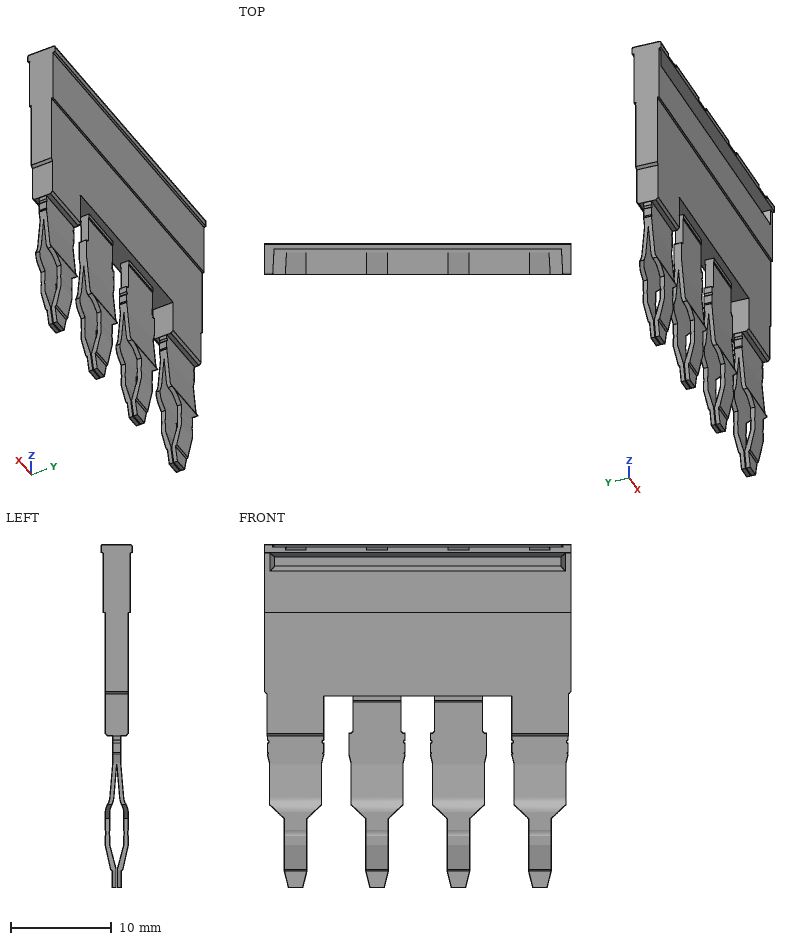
import cadquery as cq
import math


TOTAL_HEIGHT = 34.11

PIN_COUNT = 4
PIN_PITCH = 8.1
PIN_CENTRES = [(i - (PIN_COUNT - 1) / 2) * PIN_PITCH for i in range(PIN_COUNT)]

HOUSING_LENGTH = 30.5
HEAD_WIDTH = 3.1
BODY_WIDTH = 2.7
SKIRT_WIDTH = 2.32
HEAD_DEPTH = 0.76
SKIRT_DEPTH = 6.76
SHOULDER_DEPTH = 14.6
SHOULDER_INSET = 0.25
WEB_DEPTH = 15.07
LEG_DEPTH = 19.02
LEG_INNER_X = 9.33
LEG_CHAMFER = 0.25
HEAD_FRONT_RADIUS = 0.22
HEAD_BACK_CHAMFER = 0.08

RECESS_FLOOR = 0.22
PAD_FLOOR = 0.51
RECESS_BACK_Y = 1.02
PAD_BACK_Y = 0.63
RECESS_FRONT_X = 14.43
PAD_WIDTH = 2.05
END_SKEW = 0.14

POCKET_FLOOR_Y = -0.42
POCKET_HALF_LENGTH = 14.68
POCKET_END_BEVEL = 0.45
POCKET_FLOOR_TOP_DEPTH = 1.24
POCKET_FLOOR_BOTTOM_DEPTH = 2.14
POCKET_BOTTOM_DEPTH = 2.63

ROOF_SLOPE = (POCKET_FLOOR_TOP_DEPTH - HEAD_DEPTH) / (POCKET_FLOOR_Y + HEAD_WIDTH / 2)
HEAD_UNDERSIDE_DROP = ROOF_SLOPE * (HEAD_WIDTH - BODY_WIDTH) / 2

PIN_EMBEDMENT = 1.0
PIN_TOP_DEPTH = WEB_DEPTH - PIN_EMBEDMENT
NECK_HALF = 2.4
LUG_HALF = 2.8
BLADE_HALF = 2.6
SPRING_HALF = 1.13
TIP_HALF = 0.72
LUG_TOP_DEPTH = 18.75
LUG_LEAD = 0.2
LUG_TAPER_DEPTH = 20.92
BLADE_DEPTH = 21.72
BLADE_END_DEPTH = 25.85
SPRING_DEPTH = 27.25
TIP_TAPER_DEPTH = 32.45
NOTCHES = [(19.6, 0.15), (20.75, 0.08)]

SHEET = 0.42
ROOT_EXTRA = 0.06
ROOT_END_DEPTH = 15.52
ROOT_STEP = 0.12
SPLIT_DEPTH = 21.88
SPREAD_DEPTH = 25.18
SPREAD_OUTER = 0.7
BEND_DEPTH = 25.8
BEND_OUTER = 0.9
BEND_ANGLE = math.radians(33)
BELLY_DEPTH = 26.6
BELLY_OUTER = 1.15
BELLY_INNER = 0.68
NICK_TOP_DEPTH = 28.4
NICK_BOTTOM_DEPTH = 29.0
NICK_SIZE = 0.05
CLOSE_DEPTH = 29.9
PINCH_DEPTH = 32.3
PINCH_OUTER = 0.62
TIP_GAP_HALF = 0.05


def mirrored(half):
    """Close a half outline, listed top to bottom at positive abscissa, about the vertical axis."""
    return half + [(-u, v) for u, v in reversed(half)]


def block(x0, x1, y0, y1, depth0, depth1):
    """Axis-aligned box between two X, two Y and two depth limits."""
    return cq.Workplane("XY").box(x1 - x0, y1 - y0, depth1 - depth0, centered=False).translate(
        (x0, y0, -depth1)
    )


def make_housing_blank():
    """Stepped cross-section trimmed to the outline with two long end legs."""
    head = HEAD_WIDTH / 2
    body = BODY_WIDTH / 2
    skirt = SKIRT_WIDTH / 2
    side = [
        (head, -HEAD_DEPTH),
        (body, -HEAD_DEPTH - HEAD_UNDERSIDE_DROP),
        (body, -SKIRT_DEPTH),
        (skirt, -SKIRT_DEPTH),
        (skirt, -LEG_DEPTH + LEG_CHAMFER),
        (skirt - LEG_CHAMFER, -LEG_DEPTH),
    ]
    bar = (
        cq.Workplane("YZ")
        .moveTo(head - HEAD_BACK_CHAMFER, 0)
        .lineTo(head, -HEAD_BACK_CHAMFER)
        .polyline(mirrored(side), includeCurrent=True)
        .lineTo(-head, -HEAD_FRONT_RADIUS)
        .tangentArcPoint((HEAD_FRONT_RADIUS - head, 0), relative=False)
        .close()
        .extrude(HOUSING_LENGTH / 2, both=True)
    )
    end = HOUSING_LENGTH / 2
    leg_outer = end - SHOULDER_INSET
    outline = [
        (end, 0),
        (end, -SHOULDER_DEPTH),
        (leg_outer, -SHOULDER_DEPTH - SHOULDER_INSET),
        (leg_outer, -LEG_DEPTH),
        (LEG_INNER_X, -LEG_DEPTH),
        (LEG_INNER_X, -WEB_DEPTH),
    ]
    plate = cq.Workplane("XZ").polyline(mirrored(outline)).close().extrude(HEAD_WIDTH, both=True)
    return bar.intersect(plate)


def skewed_slab(front_half, back_y, floor):
    """Slab open to -Y whose two ends lean inward slightly toward +Y."""
    front_y = -HEAD_WIDTH / 2
    skew = END_SKEW * (back_y - front_y) / (RECESS_BACK_Y - front_y)
    plan = [
        (front_half, front_y),
        (front_half - skew, back_y),
        (skew - front_half, back_y),
        (-front_half, front_y),
    ]
    return cq.Workplane("XY").polyline(plan).close().extrude(-floor)


def make_marking_recess():
    """Shallow recess plus one pad per pin, each sloping down from the recess floor toward -Y.

    The outermost pad edges follow the recess ends.
    """
    recess = skewed_slab(RECESS_FRONT_X, RECESS_BACK_Y, RECESS_FLOOR)
    pad_half = PAD_WIDTH / 2
    pads = skewed_slab(PIN_CENTRES[-1] + pad_half, PAD_BACK_Y, PAD_FLOOR)
    front_y = -HEAD_WIDTH / 2
    slope = [(front_y, 0), (PAD_BACK_Y, 0), (PAD_BACK_Y, -RECESS_FLOOR), (front_y, -PAD_FLOOR)]
    wedge = cq.Workplane("YZ").polyline(slope).close().extrude(HOUSING_LENGTH / 2, both=True)
    pads = pads.intersect(wedge)
    for left, right in zip(PIN_CENTRES[:-1], PIN_CENTRES[1:]):
        gap = block(left + pad_half, right - pad_half, front_y, PAD_BACK_Y, 0, PAD_FLOOR)
        pads = pads.cut(gap)
    return recess.union(pads)


def make_grip_pocket():
    """Pocket with bevelled sides; its roof continues the sloping underside of the head."""
    face_y = -BODY_WIDTH / 2
    top_depth = HEAD_DEPTH + HEAD_UNDERSIDE_DROP
    floor_half = POCKET_HALF_LENGTH - POCKET_END_BEVEL

    floor_height = POCKET_FLOOR_BOTTOM_DEPTH - POCKET_FLOOR_TOP_DEPTH
    mouth_centre = -(top_depth + POCKET_BOTTOM_DEPTH) / 2
    floor_centre = -(POCKET_FLOOR_TOP_DEPTH + POCKET_FLOOR_BOTTOM_DEPTH) / 2
    return (
        cq.Workplane("XZ", origin=(0, face_y, mouth_centre))
        .rect(2 * POCKET_HALF_LENGTH, POCKET_BOTTOM_DEPTH - top_depth)
        .workplane(offset=face_y - POCKET_FLOOR_Y)
        .center(0, floor_centre - mouth_centre)
        .rect(2 * floor_half, floor_height)
        .loft(ruled=True)
    )


def make_pin_side_solid():
    """Side profile of a pin: two sheets joined at the top, bellied apart and pinched at the tip."""
    bend_inner = BEND_OUTER - SHEET * math.cos(BEND_ANGLE)
    bend_inner_depth = BEND_DEPTH + SHEET * math.sin(BEND_ANGLE)
    nick_mid = -(NICK_TOP_DEPTH + NICK_BOTTOM_DEPTH) / 2

    def half_profile(side):
        return (
            cq.Workplane("YZ")
            .moveTo(0, -PIN_TOP_DEPTH)
            .lineTo(side * (SHEET + ROOT_EXTRA), -PIN_TOP_DEPTH)
            .lineTo(side * (SHEET + ROOT_EXTRA), -ROOT_END_DEPTH)
            .lineTo(side * SHEET, -ROOT_END_DEPTH - ROOT_STEP)
            .lineTo(side * SHEET, -SPLIT_DEPTH)
            .lineTo(side * SPREAD_OUTER, -SPREAD_DEPTH)
            .tangentArcPoint((side * BEND_OUTER, -BEND_DEPTH), relative=False)
            .tangentArcPoint((side * BELLY_OUTER, -BELLY_DEPTH), relative=False)
            .lineTo(side * BELLY_OUTER, -NICK_TOP_DEPTH)
            .threePointArc(
                (side * (BELLY_OUTER - NICK_SIZE), nick_mid), (side * BELLY_OUTER, -NICK_BOTTOM_DEPTH)
            )
            .lineTo(side * BELLY_OUTER, -CLOSE_DEPTH)
            .lineTo(side * PINCH_OUTER, -PINCH_DEPTH)
            .lineTo(side * (SHEET + TIP_GAP_HALF), -TIP_TAPER_DEPTH)
            .lineTo(side * (SHEET + TIP_GAP_HALF), -TOTAL_HEIGHT)
            .lineTo(side * TIP_GAP_HALF, -TOTAL_HEIGHT)
            .lineTo(side * TIP_GAP_HALF, -PINCH_DEPTH)
            .lineTo(side * BELLY_INNER, -CLOSE_DEPTH)
            .lineTo(side * BELLY_INNER, -NICK_BOTTOM_DEPTH)
            .threePointArc(
                (side * (BELLY_INNER + NICK_SIZE), nick_mid), (side * BELLY_INNER, -NICK_TOP_DEPTH)
            )
            .lineTo(side * BELLY_INNER, -BELLY_DEPTH)
            .tangentArcPoint((side * bend_inner, -bend_inner_depth), relative=False)
            .tangentArcPoint((side * (SPREAD_OUTER - SHEET), -SPREAD_DEPTH), relative=False)
            .lineTo(0, -SPLIT_DEPTH)
            .close()
            .extrude(LUG_HALF, both=True)
        )

    return half_profile(1).union(half_profile(-1))


def make_pin():
    """Pin side solid trimmed to the stepped and tapered front outline."""
    outline = [
        (NECK_HALF, -PIN_TOP_DEPTH),
        (NECK_HALF, -LUG_TOP_DEPTH + LUG_LEAD),
        (NECK_HALF + LUG_LEAD, -LUG_TOP_DEPTH),
        (LUG_HALF, -LUG_TOP_DEPTH),
        (LUG_HALF, -LUG_TAPER_DEPTH),
        (BLADE_HALF, -BLADE_DEPTH),
        (BLADE_HALF, -BLADE_END_DEPTH),
        (SPRING_HALF, -SPRING_DEPTH),
        (SPRING_HALF, -TIP_TAPER_DEPTH),
        (TIP_HALF, -TOTAL_HEIGHT),
    ]
    plate = cq.Workplane("XZ").polyline(mirrored(outline)).close().extrude(HEAD_WIDTH, both=True)
    return make_pin_side_solid().intersect(plate)


def make_notches(x):
    """Small round edge notches running through the pin thickness."""
    notches = cq.Workplane("XZ")
    for depth, radius in NOTCHES:
        notches = notches.moveTo(x, -depth).circle(radius)
    return notches.extrude(HEAD_WIDTH, both=True)


def make_pins():
    """End pins are notched on both edges, the others only on the edge facing the middle."""
    pin = make_pin()
    pins = []
    for index, centre in enumerate(PIN_CENTRES):
        inward = -1 if centre > 0 else 1
        is_end_pin = index in (0, PIN_COUNT - 1)
        notched_sides = (inward, -inward) if is_end_pin else (inward,)
        placed = pin.translate((centre, 0, 0))
        for side in notched_sides:
            placed = placed.cut(make_notches(centre + side * LUG_HALF))
        pins.append(placed)
    return pins


result = make_housing_blank().cut(make_marking_recess()).cut(make_grip_pocket())
for contact_pin in make_pins():
    result = result.union(contact_pin)